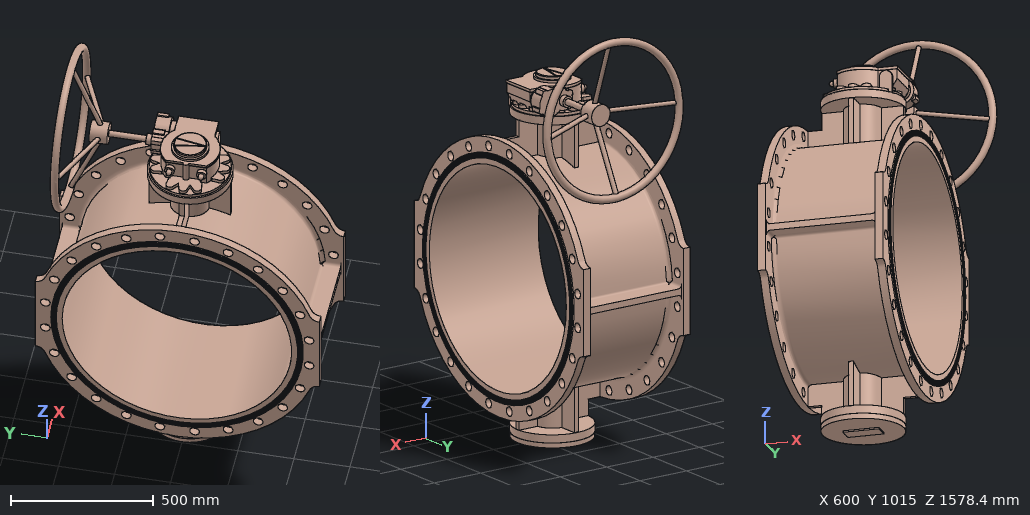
import cadquery as cq
import math

bore_dia = 819
body_dia = 855
flange_dia = 1015
flange_inner_x = 200
flange_thick = 30
raised_face_dia = 901
raised_face_height = 5.2
flange_fillet = 15
bolt_circle_dia = 950
bolt_count = 24
bolt_hole_dia = 34
ear_half_height = 160
groove_count = 4
groove_width = 2
groove_depth = 1.5
groove_pitch = 5
groove_first_radius = 431
side_rib_thick = 24
side_rib_reach = 497.5
side_rib_fillet = 12

bore_radius = bore_dia / 2
body_radius = body_dia / 2
flange_radius = flange_dia / 2
flange_outer_x = flange_inner_x + flange_thick
face_x = flange_outer_x + raised_face_height

neck_dia = 140
neck_rib_thick = 18
neck_rib_half_y = 145
neck_flange_dia = 300
neck_flange_thick = 30
top_flange_z = 568
bottom_flange_z = -567
bottom_cover_thick = 19
bottom_cover_dia = 298
bottom_pad_length = 132
bottom_pad_width = 60
bottom_pad_height = 5.4
neck_start_radius = bore_radius + 5

base_plate_dia = 288
base_plate_thick = 11
base_lug_pitch = 22.5
base_lug_groups = 4
base_lug_circle_dia = 252
base_lug_end_dia = 30
base_lug_wide_radius = 106
base_lug_start_radius = 70
base_lug_height = 13
gearbox_radius = 105
gearbox_flat_x = -75
gearbox_right_x = 148
gearbox_half_y = 72
gearbox_top_z = 696
lid_bottom_z = 685
lid_overhang = 2
worm_foot_x = 120
worm_slope_top_z = 653
index_boss_dia = 22
stop_screw_y = 57
stop_screw_z = 657
stop_screw_dia = 20
stop_nut_dia = 34
stop_nut_thick = 15
stop_screw_reach = 24
indicator_base_dia = 132
indicator_base_height = 9
indicator_dia = 116
indicator_height = 13
indicator_chamfer = 3
pointer_half_width = 18
pointer_half_length = 52
pointer_line_width = 2
pointer_depth = 2
worm_x = 107
worm_cap_radius = 23
worm_cap_height = 10
worm_neck_radius = 38

shaft_x = 53
shaft_z = 657
housing_front_y = 90
housing_back_y = 144
housing_large_radius = 50
housing_small_radius = 37
housing_screw_corners = 30
housing_screw_inset = 5
housing_screw_start_y = 103
housing_screw_places = (
    (worm_x, housing_large_radius, 55),
    (worm_x, housing_large_radius, -28),
    (shaft_x, housing_small_radius, 82),
    (shaft_x, housing_small_radius, 140),
    (shaft_x, housing_small_radius, -140),
)
collar_dia = 40
collar_end_y = 166
shaft_dia = 24
hub_dia = 80
hub_start_y = 300
hub_length = 65
wheel_dia = 600
rim_dia = 30
wheel_y = 438
spoke_dia = 18
spoke_count = 4
spoke_turn = 3.3
spoke_hub_radius = 20
spoke_hub_y = 325

neck_top_z = top_flange_z + neck_flange_thick
base_top_z = neck_top_z + base_plate_thick
rim_path_radius = (wheel_dia - rim_dia) / 2


def x_cylinder(radius, start_x, length):
    return cq.Workplane("YZ", origin=(start_x, 0, 0)).circle(radius).extrude(length)


def y_cylinder(x, z, radius, start_y, end_y):
    plane = cq.Plane(origin=(x, start_y, z), xDir=(1, 0, 0), normal=(0, 1, 0))
    return cq.Workplane(plane).circle(radius).extrude(end_y - start_y)


def z_cylinder(dia, start_z, height):
    return cq.Workplane("XY", origin=(0, 0, start_z)).circle(dia / 2).extrude(height)


def block(x_min, x_max, y_min, y_max, z_min, z_max):
    size = (x_max - x_min, y_max - y_min, z_max - z_min)
    return cq.Workplane("XY").box(*size, centered=False).translate((x_min, y_min, z_min))


def flange_ears():
    """Flat side ears, blended into the round flange by arcs starting square to the flat edge."""
    blend = ear_half_height**2 / (2 * (flange_radius - ear_half_height))
    centre_z = ear_half_height + blend
    touch = flange_radius / (flange_radius + blend)
    touch_y = flange_radius * touch
    touch_z = centre_z * touch
    half_turn = math.atan2(flange_radius, centre_z) / 2
    middle_y = flange_radius - blend * math.sin(half_turn)
    middle_z = centre_z - blend * math.cos(half_turn)
    return (
        cq.Workplane("YZ", origin=(flange_inner_x, 0, 0))
        .moveTo(flange_radius, -ear_half_height)
        .lineTo(flange_radius, ear_half_height)
        .threePointArc((middle_y, middle_z), (touch_y, touch_z))
        .lineTo(-touch_y, touch_z)
        .threePointArc((-middle_y, middle_z), (-flange_radius, ear_half_height))
        .lineTo(-flange_radius, -ear_half_height)
        .threePointArc((-middle_y, -middle_z), (-touch_y, -touch_z))
        .lineTo(touch_y, -touch_z)
        .threePointArc((middle_y, -middle_z), (flange_radius, -ear_half_height))
        .close()
        .extrude(flange_thick)
    )


def flange():
    """The +X flange with its raised face, ears, fillet to the body, bolt holes and grooves."""
    fillet_start_x = flange_inner_x - flange_fillet
    fillet_top = body_radius + flange_fillet
    dip = flange_fillet * math.sqrt(0.5)
    ring = (
        cq.Workplane("XY")
        .moveTo(fillet_start_x, 0)
        .lineTo(fillet_start_x, body_radius)
        .threePointArc((fillet_start_x + dip, fillet_top - dip), (flange_inner_x, fillet_top))
        .lineTo(flange_inner_x, flange_radius)
        .lineTo(flange_outer_x, flange_radius)
        .lineTo(flange_outer_x, raised_face_dia / 2)
        .lineTo(face_x, raised_face_dia / 2)
        .lineTo(face_x, 0)
        .close()
        .revolve(360, (0, 0, 0), (1, 0, 0))
    )
    solid = ring.union(flange_ears())
    holes = (
        cq.Workplane("YZ", origin=(flange_inner_x, 0, 0))
        .polarArray(bolt_circle_dia / 2, 180 / bolt_count, 360, bolt_count)
        .circle(bolt_hole_dia / 2)
        .extrude(flange_thick)
    )
    solid = solid.cut(holes)
    for index in range(groove_count):
        inner = groove_first_radius + index * groove_pitch
        groove = (
            cq.Workplane("YZ", origin=(face_x - groove_depth, 0, 0))
            .circle(inner + groove_width)
            .circle(inner)
            .extrude(groove_depth)
        )
        solid = solid.cut(groove)
    return solid


def side_rib_flare():
    """Side rib whose +X end widens in fillets where it meets the flange."""
    half = side_rib_thick / 2
    start_x = flange_inner_x - flange_fillet
    end_half = half + flange_fillet
    dip = flange_fillet * math.sqrt(0.5)
    return (
        cq.Workplane("XZ", origin=(0, side_rib_reach, 0))
        .moveTo(start_x, half)
        .threePointArc((start_x + dip, end_half - dip), (flange_inner_x, end_half))
        .lineTo(flange_inner_x, -end_half)
        .threePointArc((start_x + dip, dip - end_half), (start_x, -half))
        .close()
        .extrude(2 * side_rib_reach)
    )


def body_with_side_ribs():
    tube = x_cylinder(body_radius, -flange_inner_x, 2 * flange_inner_x)
    half = side_rib_thick / 2
    ribs = block(-flange_inner_x, flange_inner_x, -side_rib_reach, side_rib_reach, -half, half)
    tube = tube.union(ribs)
    corner_y = math.sqrt(body_radius**2 - half**2)
    for side in (-1, 1):
        for level in (-half, half):
            corner = cq.selectors.NearestToPointSelector((0, side * corner_y, level))
            tube = tube.edges("|X").edges(corner).fillet(side_rib_fillet)
    flare = side_rib_flare()
    return tube.union(flare).union(flare.mirror("YZ"))


def neck(direction, flange_z):
    """Round stem neck with crossed ribs, up (+1) or down (-1) to its end flange."""
    half = neck_rib_thick / 2
    neck_end = abs(flange_z)
    flange_half = neck_flange_dia / 2
    column = z_cylinder(neck_dia, neck_start_radius, neck_end - neck_start_radius)
    upper = block(-flange_half, flange_half, -half, half, neck_start_radius, neck_end)
    lower = block(-flange_inner_x, flange_inner_x, -half, half, neck_start_radius, flange_radius)
    cross_start = math.sqrt(body_radius**2 - neck_rib_half_y**2) - half
    cross = block(-half, half, -neck_rib_half_y, neck_rib_half_y, cross_start, neck_end)
    end_flange = z_cylinder(neck_flange_dia, neck_end, neck_flange_thick)
    solid = column.union(upper).union(lower).union(cross).union(end_flange)
    if direction < 0:
        solid = solid.rotate((0, 0, 0), (1, 0, 0), 180)
    return solid


def bottom_cover():
    cover_bottom = bottom_flange_z - neck_flange_thick - bottom_cover_thick
    cover = z_cylinder(bottom_cover_dia, cover_bottom, bottom_cover_thick)
    half_length = bottom_pad_length / 2
    half_width = bottom_pad_width / 2
    pad_bottom = cover_bottom - bottom_pad_height
    pad = block(-half_length, half_length, -half_width, half_width, pad_bottom, cover_bottom)
    return cover.union(pad)


def gearbox_slice(start_z, end_z, inset):
    """Round gearbox outline with a flat on -X and a square worm end on +X."""
    height = end_z - start_z
    radius = gearbox_radius - inset
    flat_x = gearbox_flat_x + inset
    half_y = gearbox_half_y - inset
    round_part = z_cylinder(2 * radius, start_z, height)
    left_trim = block(-radius, flat_x, -radius, radius, start_z, end_z)
    worm_part = block(0, gearbox_right_x - inset, -half_y, half_y, start_z, end_z)
    return round_part.cut(left_trim).union(worm_part)


def gearbox_case():
    case = gearbox_slice(neck_top_z, lid_bottom_z, lid_overhang)
    case = case.union(gearbox_slice(lid_bottom_z, gearbox_top_z, 0))
    index_boss = z_cylinder(index_boss_dia, neck_top_z, gearbox_top_z - neck_top_z)
    case = case.union(index_boss.translate((gearbox_flat_x, 0, 0)))
    corner_cut = (
        cq.Workplane("XZ", origin=(0, gearbox_half_y, 0))
        .moveTo(worm_foot_x, neck_top_z)
        .lineTo(worm_foot_x, base_top_z)
        .lineTo(gearbox_right_x, worm_slope_top_z)
        .lineTo(gearbox_right_x, neck_top_z)
        .close()
        .extrude(2 * gearbox_half_y)
    )
    return case.cut(corner_cut).union(z_cylinder(base_plate_dia, neck_top_z, base_plate_thick))


def base_lugs():
    """Round-ended fixing lugs in four groups of three; the diagonal places stay free."""
    slope = math.tan(math.radians(base_lug_pitch / 2))
    start_half = base_lug_start_radius * slope
    wide_half = base_lug_wide_radius * slope
    end_radius = base_lug_circle_dia / 2
    end_half = base_lug_end_dia / 2
    arm = (
        cq.Workplane("XY", origin=(0, 0, base_top_z))
        .moveTo(base_lug_start_radius, start_half)
        .lineTo(base_lug_wide_radius, wide_half)
        .lineTo(end_radius, end_half)
        .lineTo(end_radius, -end_half)
        .lineTo(base_lug_wide_radius, -wide_half)
        .lineTo(base_lug_start_radius, -start_half)
        .close()
        .extrude(base_lug_height)
    )
    round_end = z_cylinder(base_lug_end_dia, base_top_z, base_lug_height)
    first_lug = arm.union(round_end.translate((end_radius, 0, 0)))
    lugs = cq.Workplane("XY")
    for group in range(base_lug_groups):
        for place in (-1, 0, 1):
            angle = group * 360 / base_lug_groups + place * base_lug_pitch
            lugs = lugs.union(first_lug.rotate((0, 0, 0), (0, 0, 1), angle))
    return lugs


def stop_screws():
    """Two stop screws with lock nuts and domed ends on the flat side of the gearbox."""
    screws = cq.Workplane("XY")
    start_x = gearbox_flat_x + lid_overhang
    for y in (-stop_screw_y, stop_screw_y):
        plane = cq.Plane(
            origin=(start_x, y, stop_screw_z), xDir=(0, 1, 0), normal=(-1, 0, 0)
        )
        nut = cq.Workplane(plane).circle(stop_nut_dia / 2).extrude(stop_nut_thick)
        stem = cq.Workplane(plane).circle(stop_screw_dia / 2).extrude(stop_screw_reach)
        dome = cq.Workplane("XY").sphere(stop_screw_dia / 2)
        dome = dome.translate((start_x - stop_screw_reach, y, stop_screw_z))
        screws = screws.union(nut).union(stem).union(dome)
    return screws


def position_indicator():
    base = z_cylinder(indicator_base_dia, gearbox_top_z, indicator_base_height)
    disc_z = gearbox_top_z + indicator_base_height
    disc = z_cylinder(indicator_dia, disc_z, indicator_height)
    disc = disc.faces(">Z").edges().chamfer(indicator_chamfer)
    disc_top = disc_z + indicator_height
    run = 2 * pointer_half_length
    line_length = math.hypot(run, pointer_half_width)
    lean = math.degrees(math.atan2(pointer_half_width, run))
    for turn in (-lean, lean):
        line = cq.Workplane("XY").box(
            pointer_line_width, line_length, pointer_depth, centered=(True, False, False)
        )
        line = line.rotate((0, 0, 0), (0, 0, 1), turn)
        disc = disc.cut(line.translate((0, -pointer_half_length, disc_top - pointer_depth)))
    return base.union(disc)


def worm_ends():
    """Arched cap on the -Y side of the worm and round neck on its +Y side."""
    cap_y = -gearbox_half_y - worm_cap_height
    cap_end_y = lid_overhang - gearbox_half_y
    cap = y_cylinder(worm_x, shaft_z, worm_cap_radius, cap_y, cap_end_y)
    foot = block(
        worm_x - worm_cap_radius, worm_x + worm_cap_radius, cap_y, cap_end_y,
        neck_top_z, shaft_z,
    )
    worm_neck = y_cylinder(worm_x, shaft_z, worm_neck_radius, -cap_end_y, housing_front_y)
    return cap.union(foot).union(worm_neck)


def reduction_housing():
    """Spur gear housing with long hexagon screw heads let into its rim."""
    housing = y_cylinder(
        worm_x, shaft_z, housing_large_radius, housing_front_y, housing_back_y
    )
    pinion_end = y_cylinder(
        shaft_x, shaft_z, housing_small_radius, housing_front_y, housing_back_y
    )
    housing = housing.union(pinion_end)
    for centre_x, radius, angle in housing_screw_places:
        plane = cq.Plane(
            origin=(radius - housing_screw_inset, housing_screw_start_y, 0),
            xDir=(1, 0, 0), normal=(0, 1, 0),
        )
        head = cq.Workplane(plane).polygon(6, housing_screw_corners)
        head = head.extrude(housing_back_y - housing_screw_start_y)
        head = head.rotate((0, 0, 0), (0, 1, 0), -angle)
        housing = housing.union(head.translate((centre_x, 0, shaft_z)))
    return housing


def handwheel():
    rim_centre = cq.Vector(shaft_x, wheel_y, shaft_z)
    rim = cq.Solid.makeTorus(rim_path_radius, rim_dia / 2, rim_centre, cq.Vector(0, 1, 0))
    wheel = y_cylinder(shaft_x, shaft_z, hub_dia / 2, hub_start_y, hub_start_y + hub_length)
    wheel = wheel.union(cq.Workplane(rim))
    run = rim_path_radius - spoke_hub_radius
    rise = wheel_y - spoke_hub_y
    for index in range(spoke_count):
        plane = cq.Plane(
            origin=(spoke_hub_radius, spoke_hub_y, 0), xDir=(0, 0, 1), normal=(run, rise, 0)
        )
        spoke = cq.Workplane(plane).circle(spoke_dia / 2).extrude(math.hypot(run, rise))
        angle = spoke_turn + index * 360 / spoke_count
        spoke = spoke.rotate((0, 0, 0), (0, 1, 0), angle)
        wheel = wheel.union(spoke.translate((shaft_x, 0, shaft_z)), clean=False)
    return wheel


def input_shaft():
    collar = y_cylinder(shaft_x, shaft_z, collar_dia / 2, housing_back_y, collar_end_y)
    shaft = y_cylinder(shaft_x, shaft_z, shaft_dia / 2, housing_back_y, hub_start_y)
    return collar.union(shaft)


right_flange = flange()
valve = body_with_side_ribs().union(right_flange).union(right_flange.mirror("YZ"))
valve = valve.union(neck(1, top_flange_z)).union(neck(-1, bottom_flange_z)).union(bottom_cover())
valve = valve.cut(x_cylinder(bore_radius, -face_x, 2 * face_x))

gearbox = gearbox_case().union(base_lugs()).union(stop_screws())
gearbox = gearbox.union(position_indicator()).union(worm_ends()).union(reduction_housing())

result = valve.union(gearbox).union(input_shaft()).union(handwheel(), clean=False)